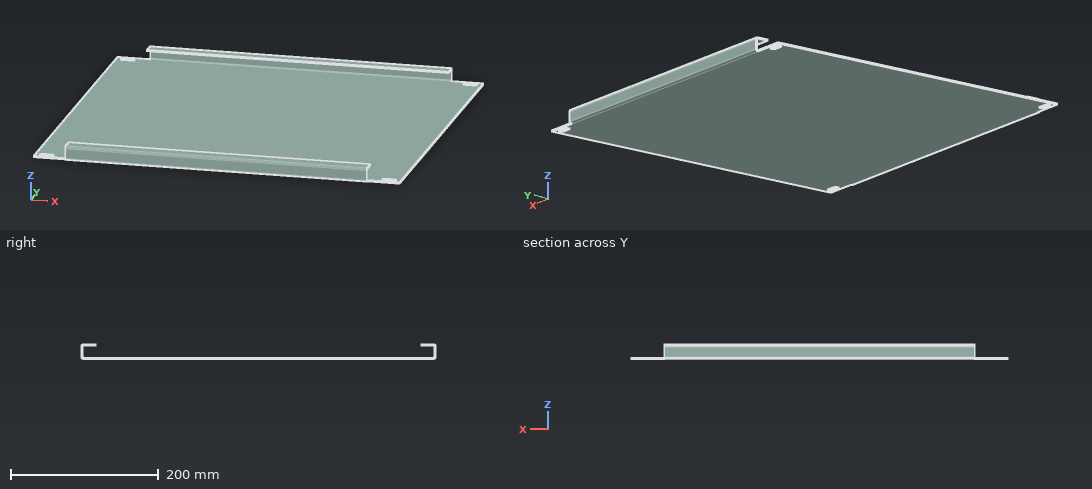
import cadquery as cq

panel_width = 510.0
overall_depth = 480.0
overall_height = 20.0
sheet_thickness = 2.0
bend_inner_radius = 1.0
bend_outer_radius = bend_inner_radius + sheet_thickness

flange_length = 420.0
lip_depth = 20.0
corner_setback = 4.0
panel_depth = overall_depth - 2 * corner_setback

slot_length = 19.5
slot_width = 8.0
slot_edge_x = 16.5
slot_edge_y = 8.0


def box(width, depth, height, z):
    """Box centred on X and Y with its bottom at z."""
    return cq.Workplane("XY").box(width, depth, height, centered=(True, True, False)).translate((0, 0, z))


def flanged_channel():
    """Full-depth C-section bent from sheet, open between the two lips."""
    outside = (
        box(flange_length, overall_depth, overall_height, 0)
        .edges("|X")
        .fillet(bend_outer_radius)
    )
    inside = (
        box(
            flange_length,
            overall_depth - 2 * sheet_thickness,
            overall_height - 2 * sheet_thickness,
            sheet_thickness,
        )
        .edges("|X")
        .fillet(bend_inner_radius)
    )
    opening = box(
        flange_length,
        overall_depth - 2 * lip_depth,
        overall_height - sheet_thickness,
        sheet_thickness,
    )
    return outside.cut(inside).cut(opening)


def mounting_slots():
    """Through slots at the four panel corners."""
    return (
        cq.Workplane("XY")
        .rect(panel_width - 2 * slot_edge_x, panel_depth - 2 * slot_edge_y, forConstruction=True)
        .vertices()
        .slot2D(slot_length, slot_width)
        .extrude(sheet_thickness)
    )


panel = box(panel_width, panel_depth, sheet_thickness, 0)
result = panel.union(flanged_channel()).cut(mounting_slots())